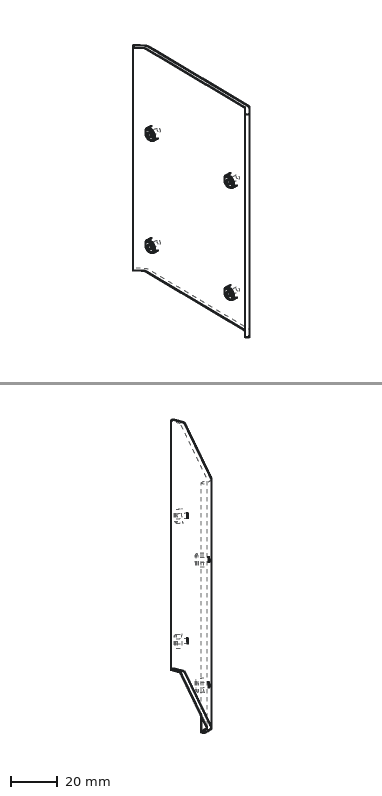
import cadquery as cq
import math

width = 71.5
height = 115.0
thickness = 2.0
flange_depth = 5.3
bend_angle = 45.0
inner_bend_radius = 1.6
outer_bend_radius = inner_bend_radius + thickness
tip_radius = 0.6

overall_depth = 5.5
boss_diameter = 6.0
bore_diameter = 2.2
base_fillet = 0.5
tip_chamfer = 0.52
boss_spacing_x = 48.9
boss_spacing_z = 57.8
boss_center_z = -11.4


def make_sheet():
    """Extrude the bent section, with the outer face of the sheet at Y = 0."""
    angle = math.radians(bend_angle)
    tip_x = thickness * math.sin(angle)
    tip_y = thickness * math.cos(angle)
    rounding_loss = tip_radius * (math.sin(angle) + math.cos(angle) - 1)
    half_width = width / 2 + rounding_loss
    sharp_depth = flange_depth + rounding_loss
    outer_tip_y = -(sharp_depth - tip_y)
    outer_bend_x = half_width + outer_tip_y / math.tan(angle)
    inner_bend_x = outer_bend_x - thickness * math.tan(angle / 2)
    right_side = [
        (outer_bend_x, 0),
        (half_width, outer_tip_y),
        (half_width - tip_x, -sharp_depth),
        (inner_bend_x, -thickness),
    ]
    left_side = [(-x, y) for x, y in reversed(right_side)]
    sheet = (
        cq.Workplane("XY")
        .polyline(right_side + left_side)
        .close()
        .extrude(height)
        .translate((0, 0, -height / 2))
    )
    corner_radii = [outer_bend_radius, tip_radius, tip_radius, inner_bend_radius]
    for (x, y), radius in zip(right_side, corner_radii):
        for side in (-1, 1):
            corner = cq.selectors.NearestToPointSelector((side * x, y, 0))
            sheet = sheet.edges("|Z").edges(corner).fillet(radius)
    return sheet


def make_boss():
    """Revolve a boss about Y, with a flared base and a chamfered tip."""
    radius = boss_diameter / 2
    base_y = -thickness
    flare_offset = base_fillet * (1 - math.sqrt(0.5))
    return (
        cq.Workplane("XY")
        .moveTo(0, 0)
        .lineTo(radius + base_fillet, 0)
        .lineTo(radius + base_fillet, base_y)
        .threePointArc((radius + flare_offset, base_y - flare_offset), (radius, base_y - base_fillet))
        .lineTo(radius, -overall_depth + tip_chamfer)
        .lineTo(radius - tip_chamfer, -overall_depth)
        .lineTo(0, -overall_depth)
        .close()
        .revolve(360, (0, 0, 0), (0, 1, 0))
    )


def make_bore():
    """Cylinder passing through a boss and the sheet."""
    return cq.Workplane("XZ").circle(bore_diameter / 2).extrude(overall_depth)


boss_places = [
    (x * boss_spacing_x / 2, 0, boss_center_z + z * boss_spacing_z / 2)
    for x in (-1, 1)
    for z in (-1, 1)
]

result = make_sheet()
for place in boss_places:
    result = result.union(make_boss().translate(place))
    result = result.cut(make_bore().translate(place))